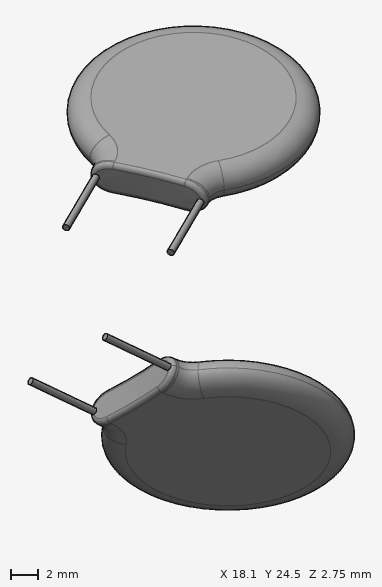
import cadquery as cq
import math

disc_diameter = 18.12
thickness = 2.75
rim_width = 1.7
neck_width = 8.95
bend_radius = 1.52
neck_end_y = -9.36
end_hollow_depth = 0.27
end_fillet = 0.37
lead_diameter = 0.55
lead_spacing = 8.0
overall_length = 24.45

disc_radius = disc_diameter / 2
half_thickness = thickness / 2
half_neck = neck_width / 2
lead_tip_y = disc_radius - overall_length

bend_center_x = half_neck + bend_radius
bend_center_y = -math.sqrt((disc_radius + bend_radius) ** 2 - bend_center_x ** 2)
bend_angle = math.atan2(-bend_center_y, bend_center_x)

flat_radius = disc_radius - rim_width
flat_half_neck = half_neck - rim_width
flat_bend_radius = bend_radius + rim_width


def point_on_bend(side, angle):
    """Point on the flat outline's bend; the angle is measured from the bend center toward the neck."""
    x = bend_center_x - flat_bend_radius * math.cos(angle)
    y = bend_center_y + flat_bend_radius * math.sin(angle)
    return (side * x, y)


def flat_outline():
    """Open path from the left neck end, around the disc, to the right neck end."""
    return (
        cq.Workplane("XY")
        .moveTo(-flat_half_neck, neck_end_y)
        .lineTo(-flat_half_neck, bend_center_y)
        .threePointArc(point_on_bend(-1, bend_angle / 2), point_on_bend(-1, bend_angle))
        .threePointArc((0, flat_radius), point_on_bend(1, bend_angle))
        .threePointArc(point_on_bend(1, bend_angle / 2), (flat_half_neck, bend_center_y))
        .lineTo(flat_half_neck, neck_end_y)
    )


def make_rim():
    """Half-elliptical edge along the flat outline, in an upper and a lower quarter ellipse."""
    return (
        cq.Workplane("XZ", origin=(-flat_half_neck, neck_end_y, 0))
        .moveTo(0, half_thickness)
        .ellipseArc(rim_width, half_thickness, 90, 180)
        .ellipseArc(rim_width, half_thickness, 180, 270)
        .close()
        .sweep(flat_outline())
    )


def make_end_hollow():
    """Upright cylinder that leaves the neck end slightly concave."""
    hollow_radius = (half_neck ** 2 + end_hollow_depth ** 2) / (2 * end_hollow_depth)
    hollow_center_y = neck_end_y + end_hollow_depth - hollow_radius
    return (
        cq.Workplane("XY")
        .center(0, hollow_center_y)
        .circle(hollow_radius)
        .extrude(thickness, both=True)
    )


def make_lead(side):
    """Straight round lead, seated in the neck as far as the end of the bend."""
    return (
        cq.Workplane("XZ", origin=(side * lead_spacing / 2, bend_center_y, 0))
        .circle(lead_diameter / 2)
        .extrude(bend_center_y - lead_tip_y)
    )


def make_body(leads):
    """Disc and neck with a rounded, hollowed end and a matching hole for each lead."""
    core = flat_outline().close().extrude(half_thickness, both=True)
    body = core.union(make_rim())
    body = body.cut(make_end_hollow())
    body = body.faces("<Y").edges().fillet(end_fillet)
    for lead in leads:
        body = body.cut(lead)
    return body.solids()


leads = [make_lead(side) for side in (-1, 1)]
body = make_body(leads)

result = cq.Compound.makeCompound([body.val(), *[lead.val() for lead in leads]])